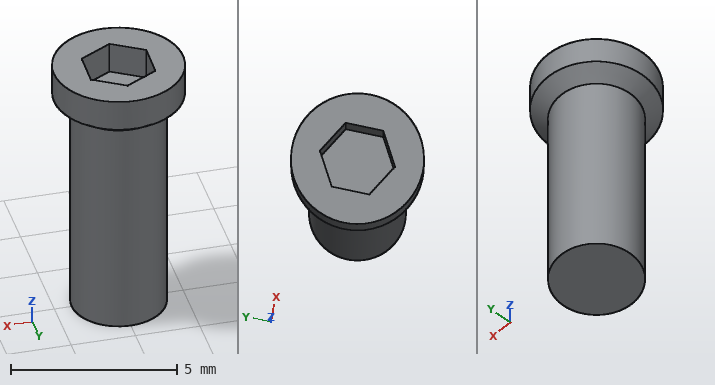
import cadquery as cq
import math

total_length = 8.5
head_diameter = 4.0
shank_diameter = 2.92

rim_height = 1.0
cone_height = 0.4

socket_across_flats = 2.0
socket_depth = 1.0
socket_angle = 89.0


def make_body():
    """Revolve the half profile of shank, cone and rim about Z."""
    head_radius = head_diameter / 2
    shank_radius = shank_diameter / 2
    rim_bottom = total_length - rim_height
    cone_bottom = rim_bottom - cone_height
    profile = [
        (0, 0),
        (shank_radius, 0),
        (shank_radius, cone_bottom),
        (head_radius, rim_bottom),
        (head_radius, total_length),
        (0, total_length),
    ]
    return cq.Workplane("XZ").polyline(profile).close().revolve(360, (0, 0), (0, 1))


def make_socket():
    """Hexagonal prism reaching down from the top face."""
    across_corners = socket_across_flats / math.cos(math.pi / 6)
    return (
        cq.Workplane("XY")
        .workplane(offset=total_length)
        .transformed(rotate=(0, 0, socket_angle))
        .polygon(6, across_corners)
        .extrude(-socket_depth)
    )


result = make_body().cut(make_socket())